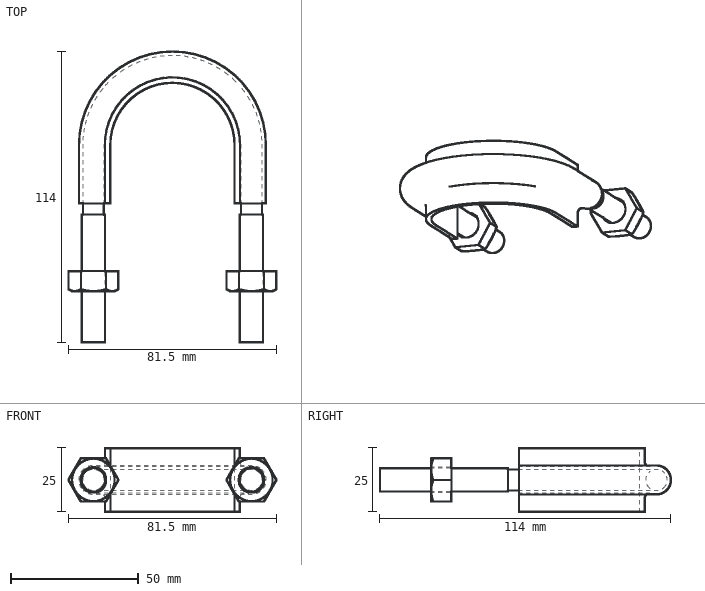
import cadquery as cq
import math

overall_length = 114.0
overall_width = 81.5
sheath_radius = 5.7
nut_flats = 17.0
nut_corners = nut_flats / math.cos(math.pi / 6)
leg_offset = (overall_width - nut_corners) / 2
bend_top = leg_offset + sheath_radius

band_inner_radius = 24.3
band_thickness = 2.2
band_outer_radius = band_inner_radius + band_thickness
band_height = 25.0
lining_leg = 22.9
fillet_radius = 1.8

rod_diameter = 8.3
rod_leg = 27.3
thread_diameter = 9.2
thread_end = overall_length - bend_top

nut_hole_diameter = 10.0
nut_start = 49.4
nut_thickness = 8.0
nut_face_diameter = 16.7
nut_chamfer_angle = math.radians(30)


def sweep_u(profile, leg_length):
    """Carry an XZ profile, drawn at +X, around the bend and along both legs."""
    outline = profile.val()
    bend = cq.Workplane("XZ").add(outline).toPending().revolve(180, (0, 0, 0), (0, 1, 0))
    leg = cq.Workplane("XZ").add(outline).toPending().extrude(leg_length)
    return bend.union(leg).union(leg.mirror("YZ"))


def lining_profile():
    """Band section blended into the round sheath by two concave fillets."""
    half_height = band_height / 2
    fillet_x = band_outer_radius + fillet_radius
    center_distance = sheath_radius + fillet_radius
    fillet_z = math.sqrt(center_distance**2 - (leg_offset - fillet_x) ** 2)
    touch_ratio = sheath_radius / center_distance
    touch_x = leg_offset + (fillet_x - leg_offset) * touch_ratio
    touch_z = fillet_z * touch_ratio
    end_angle = math.atan2(touch_z - fillet_z, touch_x - fillet_x)
    mid_angle = (end_angle - math.pi) / 2
    mid_x = fillet_x + fillet_radius * math.cos(mid_angle)
    mid_z = fillet_z + fillet_radius * math.sin(mid_angle)
    return (
        cq.Workplane("XZ")
        .moveTo(band_inner_radius, -half_height)
        .lineTo(band_outer_radius, -half_height)
        .lineTo(band_outer_radius, -fillet_z)
        .threePointArc((mid_x, -mid_z), (touch_x, -touch_z))
        .threePointArc((leg_offset + sheath_radius, 0), (touch_x, touch_z))
        .threePointArc((mid_x, mid_z), (band_outer_radius, fillet_z))
        .lineTo(band_outer_radius, half_height)
        .lineTo(band_inner_radius, half_height)
        .close()
    )


def make_rod():
    """Round U-rod, ending where the threaded ends begin."""
    profile = cq.Workplane("XZ").moveTo(leg_offset, 0).circle(rod_diameter / 2)
    return sweep_u(profile, rod_leg)


def make_lining(rod_body):
    """Lining with a bore that the rod body fills."""
    return sweep_u(lining_profile(), lining_leg).cut(rod_body)


def make_threaded_end(x):
    """Solid threaded end that continues one leg of the rod."""
    return (
        cq.Workplane("XZ", origin=(x, -rod_leg, 0))
        .circle(thread_diameter / 2)
        .extrude(thread_end - rod_leg)
    )


def make_nut(x):
    """Hex nut with its -Y corners cut back by a cone."""
    hexagon = (
        cq.Workplane("XZ")
        .polygon(6, nut_corners)
        .circle(nut_hole_diameter / 2)
        .extrude(nut_thickness)
    )
    corner_radius = nut_corners / 2
    face_radius = nut_face_diameter / 2
    chamfer_depth = (corner_radius - face_radius) * math.tan(nut_chamfer_angle)
    envelope = (
        cq.Workplane("XY")
        .lineTo(corner_radius, 0)
        .lineTo(corner_radius, chamfer_depth - nut_thickness)
        .lineTo(face_radius, -nut_thickness)
        .lineTo(0, -nut_thickness)
        .close()
        .revolve(360, (0, 0, 0), (0, 1, 0))
    )
    return hexagon.intersect(envelope).translate((x, -nut_start, 0))


rod = make_rod()
lining = make_lining(rod)
threaded_ends = []
nuts = []
for leg_x in (-leg_offset, leg_offset):
    threaded_ends.append(make_threaded_end(leg_x).val())
    nuts.append(make_nut(leg_x).val())

result = cq.Compound.makeCompound([lining.val(), rod.val(), *threaded_ends, *nuts])